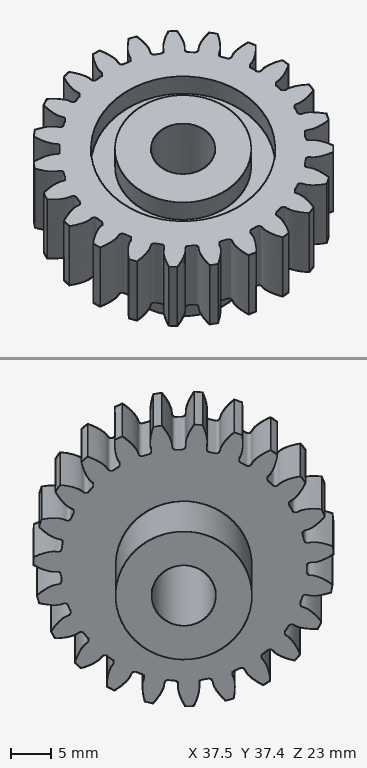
import cadquery as cq
import math


overall_width = 37.47
tooth_count = 23
pressure_angle = math.radians(20)
addendum_factor = 1.0
dedendum_factor = 1.25
root_fillet_radius = 0.45
flank_point_count = 8

face_width = 12.0
hub_length = 11.0
hub_diameter = 17.0
bore_diameter = 8.0
recess_diameter = 23.0
recess_depth = 3.5


def involute(angle):
    return math.tan(angle) - angle


tooth_pitch = 2 * math.pi / tooth_count
tip_ratio = 1 + 2 * addendum_factor / tooth_count
tip_pressure_angle = math.acos(math.cos(pressure_angle) / tip_ratio)
base_half_angle = tooth_pitch / 4 + involute(pressure_angle)
tip_half_angle = base_half_angle - involute(tip_pressure_angle)

first_tooth_angle = -math.pi / 2
tip_radius = overall_width / 2 / math.cos(tooth_pitch / 4 - tip_half_angle)
pitch_radius = tip_radius / tip_ratio
gear_module = 2 * pitch_radius / tooth_count
base_radius = pitch_radius * math.cos(pressure_angle)
root_radius = pitch_radius - dedendum_factor * gear_module

fillet_center_radius = root_radius + root_fillet_radius
fillet_angle = math.asin(root_fillet_radius / fillet_center_radius)
fillet_end_radius = fillet_center_radius * math.cos(fillet_angle)


def polar(radius, angle):
    return (radius * math.cos(angle), radius * math.sin(angle))


def flank_points(center_angle, side):
    """Involute points from the base circle to the tip; side is -1 or +1."""
    points = []
    for index in range(flank_point_count + 1):
        roll = math.tan(tip_pressure_angle) * index / flank_point_count
        radius = base_radius * math.hypot(1, roll)
        half_angle = base_half_angle - involute(math.atan(roll))
        points.append(polar(radius, center_angle + side * half_angle))
    return points


def fillet_points(center_angle, side):
    """Start, middle and end of a root fillet, from the root circle to the flank."""
    flank_angle = center_angle + side * base_half_angle
    axis_angle = flank_angle + side * fillet_angle
    center_x, center_y = polar(fillet_center_radius, axis_angle)
    toward_root = axis_angle + math.pi
    toward_flank = flank_angle - side * math.pi / 2
    turn = side * (math.pi / 2 - fillet_angle)
    middle_x, middle_y = polar(root_fillet_radius, toward_root + turn / 2)
    return (
        polar(root_radius, axis_angle),
        (center_x + middle_x, center_y + middle_y),
        polar(fillet_end_radius, flank_angle),
    )


def gear_outline():
    start = fillet_points(first_tooth_angle, -1)[0]
    outline = cq.Workplane("XY").workplane(offset=hub_length).moveTo(*start)
    for tooth in range(tooth_count):
        center_angle = first_tooth_angle + tooth * tooth_pitch
        rising_fillet = fillet_points(center_angle, -1)
        rising_flank = flank_points(center_angle, -1)
        falling_flank = flank_points(center_angle, 1)[::-1]
        falling_fillet = fillet_points(center_angle, 1)[::-1]
        next_root = fillet_points(center_angle + tooth_pitch, -1)[0]

        outline = outline.threePointArc(rising_fillet[1], rising_fillet[2])
        outline = outline.lineTo(*rising_flank[0])
        outline = outline.spline(rising_flank[1:], includeCurrent=True)
        outline = outline.threePointArc(polar(tip_radius, center_angle), falling_flank[0])
        outline = outline.spline(falling_flank[1:], includeCurrent=True)
        outline = outline.lineTo(*falling_fillet[0])
        outline = outline.threePointArc(falling_fillet[1], falling_fillet[2])
        root_middle = polar(root_radius, center_angle + tooth_pitch / 2)
        outline = outline.threePointArc(root_middle, next_root)
    return outline.close()


overall_height = hub_length + face_width

gear = gear_outline().extrude(face_width)

recess = (
    cq.Workplane("XY")
    .workplane(offset=overall_height - recess_depth)
    .circle(recess_diameter / 2)
    .extrude(recess_depth)
)

hub = cq.Workplane("XY").circle(hub_diameter / 2).extrude(overall_height)
bore = cq.Workplane("XY").circle(bore_diameter / 2).extrude(overall_height)

result = gear.cut(recess).union(hub).cut(bore)